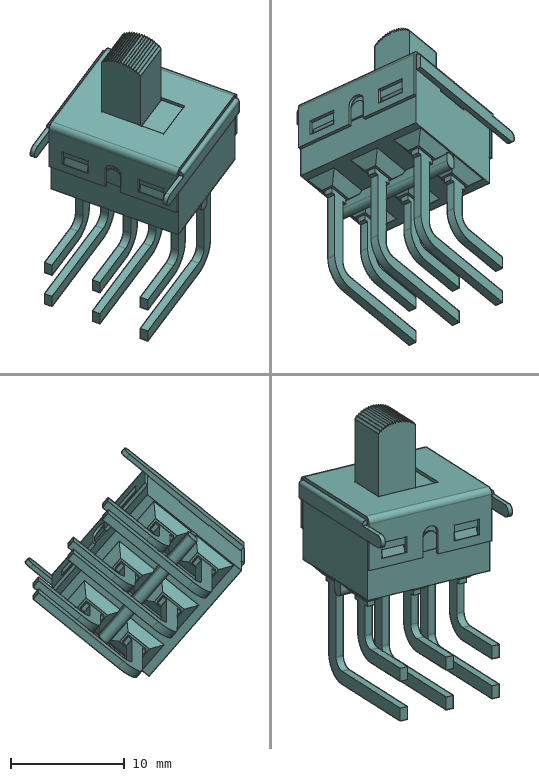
import cadquery as cq
import math


base_length = 12.63
base_width = 10.8
total_height = 7.97
cover_thickness = 0.3
cover_length = 12.68
cover_width = base_width + 2 * cover_thickness
cover_bottom = 2.97
cover_bend_radius = 0.55
base_top = total_height - cover_thickness

actuator_slot_length = 6.16
actuator_slot_width = 3.98
window_length = 2.6
window_bottom = 3.83
window_top = 5.33
window_offset = 3.75
arch_width = 1.55
arch_top = 5.8

latch_length = 2.33
latch_rise = 0.68
latch_projection = 0.25
boss_width = 1.4
boss_bottom = 3.45
boss_top = 5.25
boss_sag = 0.4
boss_projection = 0.15

strip_span = 13.57
strip_thickness = 0.43
strip_half_width = 5.3
strip_top = base_top
strip_bottom = 6.05
strip_bend_radius = 0.35
arm_height = 1.17
arm_tip = -8.42

notch_width = 3.3
notch_bottom = 5.8
notch_depth = 0.15

knob_length = 3.83
knob_width = 3.95
knob_end_gap = 0.03
knob_left = -actuator_slot_length / 2 + knob_end_gap
knob_center = knob_left + knob_length / 2
knob_top = 14.85
crown_radius = 2.66
teeth_per_side = 8
tooth_depth = 0.28
tooth_slope_share = 0.8

pin_pitch = 4.75
row_offset = 2.4
pin_width = 0.75
pin_depth = 1.25
pin_tip = -8.9
pin_inner_radius = 1.0
overall_height = 25.37
long_pin_bottom = knob_top - overall_height
short_pin_bottom = -6.72
collar_depth = 2.05
collar_bottom = -1.55
cone_bottom = -1.0
cone_top_size = (2.95, 4.31)
cone_bottom_size = (1.17, 2.45)
keel_length = 12.18
keel_width = 1.01
keel_bottom = -1.55


def box(x_min, x_max, y_min, y_max, z_min, z_max):
    size = (x_max - x_min, y_max - y_min, z_max - z_min)
    return cq.Workplane("XY").box(*size, centered=False).translate((x_min, y_min, z_min))


def centered_box(length, width, z_min, z_max):
    return box(-length / 2, length / 2, -width / 2, width / 2, z_min, z_max)


def mirrored_pair(body, plane):
    return body.union(body.mirror(plane))


def make_cover():
    shell = centered_box(cover_length, cover_width, cover_bottom, total_height)
    shell = shell.edges("|X and >Z").fillet(cover_bend_radius)
    shell = shell.cut(centered_box(cover_length, base_width, cover_bottom, base_top))
    shell = shell.cut(centered_box(actuator_slot_length, actuator_slot_width, base_top, total_height))
    for side in (-1, 1):
        window = centered_box(window_length, cover_width, window_bottom, window_top)
        shell = shell.cut(window.translate((side * window_offset, 0, 0)))
    arch_radius = arch_width / 2
    arch = (
        cq.Workplane("XZ")
        .moveTo(-arch_radius, cover_bottom)
        .lineTo(-arch_radius, arch_top - arch_radius)
        .threePointArc((0, arch_top), (arch_radius, arch_top - arch_radius))
        .lineTo(arch_radius, cover_bottom)
        .close()
        .extrude(cover_width / 2, both=True)
    )
    return shell.cut(arch)


def make_front_latch(x_center):
    face = -base_width / 2
    return (
        cq.Workplane("YZ")
        .moveTo(face, window_bottom)
        .lineTo(face - latch_projection, window_bottom)
        .lineTo(face, window_bottom + latch_rise)
        .close()
        .extrude(latch_length / 2, both=True)
        .translate((x_center, 0, 0))
    )


def make_boss():
    half_width = boss_width / 2
    return (
        cq.Workplane("XZ", origin=(0, -base_width / 2, 0))
        .moveTo(-half_width, boss_bottom)
        .lineTo(-half_width, boss_top - boss_sag)
        .threePointArc((0, boss_top), (half_width, boss_top - boss_sag))
        .lineTo(half_width, boss_bottom)
        .close()
        .extrude(boss_projection)
    )


def make_end_notch():
    face = base_length / 2
    return (
        cq.Workplane("XZ")
        .moveTo(face, notch_bottom)
        .lineTo(face - notch_depth, strip_bottom)
        .lineTo(face, strip_bottom)
        .close()
        .extrude(notch_width / 2, both=True)
    )


def make_base():
    base = centered_box(base_length, base_width, 0, base_top)
    front = make_boss()
    for side in (-1, 1):
        front = front.union(make_front_latch(side * window_offset))
    base = base.union(mirrored_pair(front, "XZ"))
    return base.cut(mirrored_pair(make_end_notch(), "YZ"))


def make_strip():
    outer = strip_span / 2
    inner = base_length / 2
    plate = box(inner, outer, -strip_half_width, strip_half_width, strip_bottom, strip_top)
    plate = plate.edges("|Y and >X and >Z").fillet(strip_bend_radius)
    arm_radius = arm_height / 2
    arm_top = strip_bottom + arm_height
    arm = (
        cq.Workplane("YZ", origin=(outer, 0, 0))
        .moveTo(0, strip_bottom)
        .lineTo(arm_tip + arm_radius, strip_bottom)
        .threePointArc((arm_tip, strip_bottom + arm_radius), (arm_tip + arm_radius, arm_top))
        .lineTo(0, arm_top)
        .close()
        .extrude(-strip_thickness)
    )
    return plate.union(arm)


def crown_height(offset):
    drop = crown_radius - math.sqrt(crown_radius**2 - offset**2)
    return knob_top - drop


def make_knob():
    pitch = knob_length / 2 / (teeth_per_side - 1 + tooth_slope_share)
    right_teeth = []
    for tooth in range(teeth_per_side):
        peak = tooth * pitch
        root = peak + tooth_slope_share * pitch
        right_teeth.append((peak, crown_height(peak)))
        right_teeth.append((root, crown_height(peak) - tooth_depth))
    left_teeth = [(-x, z) for x, z in reversed(right_teeth[1:])]
    outline = [(-knob_length / 2, base_top)] + left_teeth + right_teeth + [(knob_length / 2, base_top)]
    return (
        cq.Workplane("XZ")
        .polyline(outline)
        .close()
        .extrude(knob_width / 2, both=True)
        .translate((knob_center, 0, 0))
    )


def make_pin(row_y, bottom):
    front = row_y - pin_depth / 2
    back = row_y + pin_depth / 2
    pin_outer_radius = pin_inner_radius + pin_depth
    leg = box(-pin_width / 2, pin_width / 2, front, back, bottom, 0)
    foot = box(-pin_width / 2, pin_width / 2, pin_tip, back, bottom, bottom + pin_depth)
    pin = leg.union(foot)
    pin = pin.edges(cq.selectors.NearestToPointSelector((0, back, bottom))).fillet(pin_outer_radius)
    inner_corner = cq.selectors.NearestToPointSelector((0, front, bottom + pin_depth))
    pin = pin.edges(inner_corner).fillet(pin_inner_radius)
    collar = centered_box(pin_width, collar_depth, collar_bottom, 0).translate((0, row_y, 0))
    cone = (
        cq.Workplane("XY", origin=(0, row_y, 0))
        .rect(*cone_top_size)
        .workplane(offset=cone_bottom)
        .rect(*cone_bottom_size)
        .loft()
    )
    return pin.union(collar).union(cone)


def make_keel():
    radius = keel_width / 2
    return (
        cq.Workplane("YZ")
        .moveTo(-radius, 0)
        .lineTo(-radius, keel_bottom + radius)
        .threePointArc((0, keel_bottom), (radius, keel_bottom + radius))
        .lineTo(radius, 0)
        .close()
        .extrude(keel_length / 2, both=True)
    )


result = make_base().union(make_cover()).union(make_knob()).union(make_keel())
result = result.union(mirrored_pair(make_strip(), "YZ"))
for row_y, bottom in ((row_offset, long_pin_bottom), (-row_offset, short_pin_bottom)):
    pin = make_pin(row_y, bottom)
    for column in (-1, 0, 1):
        result = result.union(pin.translate((column * pin_pitch, 0, 0)))